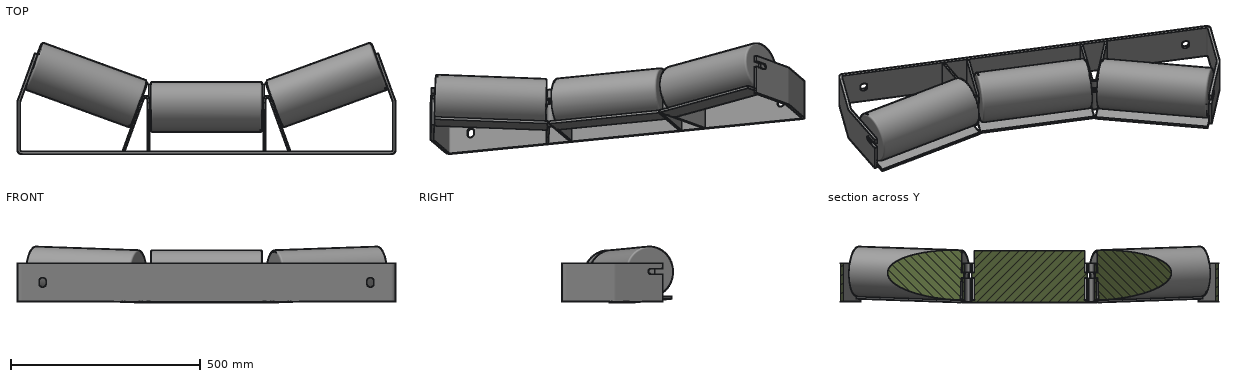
import cadquery as cq
import math

LENGTH = 1000.0
STRIP_HEIGHT = 102.0
FRAME_THICKNESS = 8.0
WING_BEND_Y = 139.0
WING_TIP_Y = 266.0
BEND_RADIUS = 8.0
MOUNT_SLOT_X = 433.0
MOUNT_SLOT_WIDTH = 19.0
MOUNT_SLOT_HEIGHT = 25.0

BRACKET_THICKNESS = 6.0
UPRIGHT_FACE_X = 150.0
SLOPED_LEG_FOOT_X = 219.0

TROUGH_ANGLE = 20.0
TILT_ANGLE = 1.9
DRUM_DIAMETER = 133.0
DRUM_LENGTH = 294.0
DRUM_ROUNDING = 5.0
CENTRE_AXIS_Y = 125.0
CENTRE_AXIS_Z = 70.0
SIDE_CENTRE_X = 318.0
SIDE_CENTRE_Y = 183.0
SHAFT_OVERHANG = 6.0
SHAFT_HEIGHT = 15.0
SHAFT_FLAT_Y = 11.0
BAR_WIDTH = 60.0
BAR_THICKNESS = 7.0
BAR_EMBED = 1.0
SLOT_REACH = 80.0
SLOT_OVERCUT = 6.0

SHAFT_LENGTH = DRUM_LENGTH + 2 * SHAFT_OVERHANG
TAN_TROUGH = math.tan(math.radians(TROUGH_ANGLE))
SIDE_AXIS_Z = CENTRE_AXIS_Z + DRUM_LENGTH / 2 * math.sin(math.radians(TILT_ANGLE))


def bent_strip(points, thickness):
    """Upright strip that follows a middle line and rounds each of its corners."""
    line = cq.Wire.makePolygon([cq.Vector(x, y, 0) for x, y in points])
    corners = [v for v in line.Vertices() if (v.X, v.Y) not in (points[0], points[-1])]
    path = cq.Workplane(obj=line.fillet(BEND_RADIUS, corners))
    start = cq.Vector(*points[0], 0)
    along = cq.Vector(*points[1], 0) - start
    section = cq.Workplane(cq.Plane(origin=start, xDir=(0, 0, 1), normal=along))
    return section.center(STRIP_HEIGHT / 2, 0).rect(STRIP_HEIGHT, thickness).sweep(path)


def place(body, side):
    """Move a body from the roller's own axes to the left (-1), centre (0) or right (1)."""
    body = body.rotate((0, 0, 0), (0, 1, 0), -side * TILT_ANGLE)
    body = body.rotate((0, 0, 0), (0, 0, 1), side * TROUGH_ANGLE)
    if side == 0:
        return body.translate((0, CENTRE_AXIS_Y, CENTRE_AXIS_Z))
    return body.translate((side * SIDE_CENTRE_X, SIDE_CENTRE_Y, SIDE_AXIS_Z))


def shaft_bar(length, flat_y):
    """Bar along X with a half-round side towards -Y and a flat side at flat_y."""
    radius = SHAFT_HEIGHT / 2
    return (
        cq.Workplane("YZ")
        .moveTo(flat_y, -radius)
        .lineTo(0, -radius)
        .threePointArc((-radius, 0), (0, radius))
        .lineTo(flat_y, radius)
        .close()
        .extrude(length / 2, both=True)
    )


def make_roller(side):
    radius = DRUM_DIAMETER / 2
    drum = cq.Workplane("YZ").circle(radius).extrude(DRUM_LENGTH / 2, both=True)
    drum = drum.faces("|X").edges().fillet(DRUM_ROUNDING)
    left_end = -DRUM_LENGTH / 2 - (0 if side == -1 else SHAFT_OVERHANG)
    right_end = DRUM_LENGTH / 2 + (0 if side == 1 else SHAFT_OVERHANG)
    bar = cq.Workplane("XY").box(right_end - left_end, BAR_WIDTH, BAR_THICKNESS, centered=False)
    bar = bar.translate((left_end, 0, BAR_EMBED - radius - BAR_THICKNESS))
    return place(drum.union(shaft_bar(SHAFT_LENGTH, SHAFT_FLAT_Y)).union(bar), side)


def cut_seats(support, sides, rollers):
    """Cut the open shaft slots and the notches for the bars of the rollers."""
    slot_length = SHAFT_LENGTH + 2 * SLOT_OVERCUT
    for side in sides:
        support = support.cut(place(shaft_bar(slot_length, SLOT_REACH), side))
        support = support.cut(rollers[side])
    return support


def make_frame(rollers):
    half = FRAME_THICKNESS / 2
    wall_x = LENGTH / 2 - half
    tip_x = wall_x - (WING_TIP_Y - WING_BEND_Y) * TAN_TROUGH
    right = [(wall_x, half), (wall_x, WING_BEND_Y), (tip_x, WING_TIP_Y)]
    left = [(-x, y) for x, y in reversed(right)]
    frame = bent_strip(left + right, FRAME_THICKNESS)
    mount_slots = (
        cq.Workplane("XZ")
        .pushPoints([(-MOUNT_SLOT_X, STRIP_HEIGHT / 2), (MOUNT_SLOT_X, STRIP_HEIGHT / 2)])
        .slot2D(MOUNT_SLOT_HEIGHT, MOUNT_SLOT_WIDTH, 90)
        .extrude(-FRAME_THICKNESS)
    )
    return cut_seats(frame.cut(mount_slots), (-1, 1), rollers)


def make_bracket(side, rollers):
    upright_x = UPRIGHT_FACE_X + BRACKET_THICKNESS / 2
    apex_y = FRAME_THICKNESS + (SLOPED_LEG_FOOT_X - upright_x) / TAN_TROUGH
    foot = (side * (SLOPED_LEG_FOOT_X + FRAME_THICKNESS * TAN_TROUGH), 0.0)
    bracket = bent_strip([(side * upright_x, 0.0), (side * upright_x, apex_y), foot], BRACKET_THICKNESS)
    base = cq.Workplane("XY").box(LENGTH, FRAME_THICKNESS, STRIP_HEIGHT, centered=(True, False, False))
    bracket = bracket.cut(base).cut(base.translate((0, -FRAME_THICKNESS, 0)))
    return cut_seats(bracket, (0, side), rollers)


rollers = {side: make_roller(side) for side in (-1, 0, 1)}
frame = make_frame(rollers)
brackets = [make_bracket(side, rollers) for side in (-1, 1)]

bodies = [frame, *brackets, *rollers.values()]
result = cq.Compound.makeCompound([body.solids().val() for body in bodies])